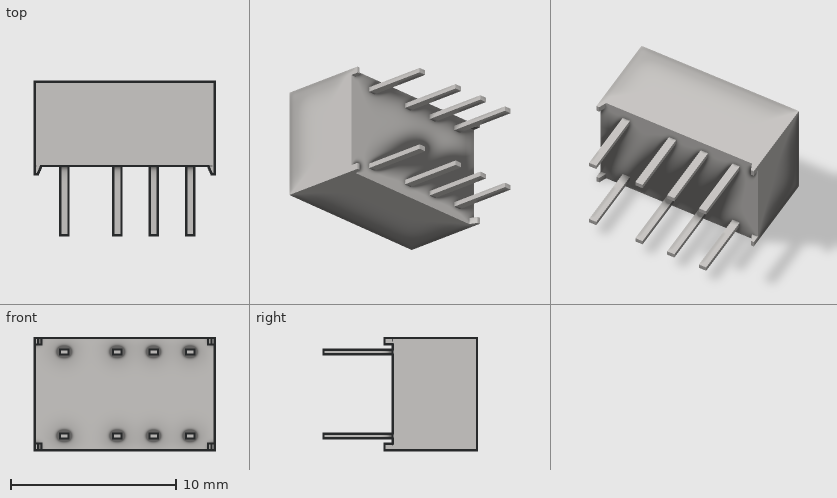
import cadquery as cq

body_width = 10.9
body_depth = 5.11
body_height = 6.8

foot_length = 0.5
foot_root_width = 0.4
foot_tip_width = 0.2
foot_height = 0.4

pin_length = 4.19
pin_width = 0.5
pin_thickness = 0.29
row_spacing = 5.08
first_pin_inset = 1.8
wide_pitch = 3.2
pin_pitch = 2.2

first_pin_x = -body_width / 2 + first_pin_inset
second_pin_x = first_pin_x + wide_pitch
pin_positions_x = [first_pin_x] + [second_pin_x + i * pin_pitch for i in range(3)]


def make_body():
    return cq.Workplane("XY").box(
        body_width, body_depth, body_height, centered=(True, False, True)
    )


def make_foot():
    """Foot at the -X, -Z corner, tapering on its inner side toward the tip."""
    outer_x = -body_width / 2
    return (
        cq.Workplane("XY", origin=(0, 0, -body_height / 2))
        .moveTo(outer_x, 0)
        .lineTo(outer_x, -foot_length)
        .lineTo(outer_x + foot_tip_width, -foot_length)
        .lineTo(outer_x + foot_root_width, 0)
        .close()
        .extrude(foot_height)
    )


def make_feet():
    lower_left = make_foot()
    lower_pair = lower_left.union(lower_left.mirror("YZ"))
    return lower_pair.union(lower_pair.mirror("XY"))


def make_pins():
    pin_points = [
        (x, side * row_spacing / 2) for x in pin_positions_x for side in (-1, 1)
    ]
    return (
        cq.Workplane("XZ")
        .pushPoints(pin_points)
        .rect(pin_width, pin_thickness)
        .extrude(pin_length)
    )


result = make_body().union(make_feet()).union(make_pins())